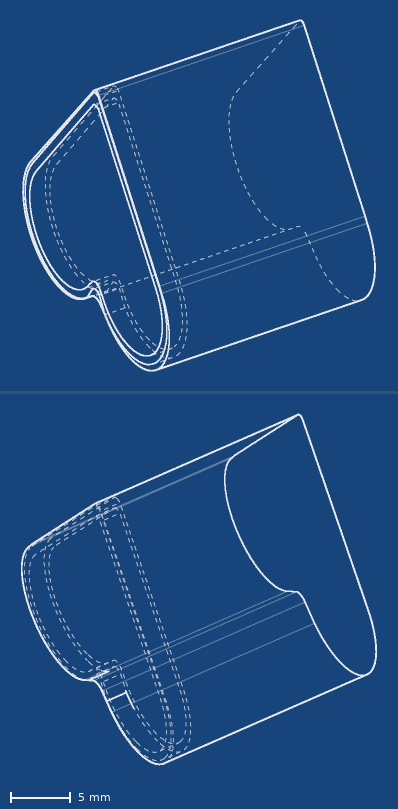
import cadquery as cq
import math

length = 20.0
front_y = -length / 2

housing_lobe_x = 5.97
housing_lobe_z = -5.9
housing_lobe_radius = 6.12
tip_half_width = 0.39
tip_rise = 0.2
housing_tip_z = 11.85
shoulder_z = -1.6
left_shoulder_x = -10.65
left_extreme_z = -5.65
right_shoulder_x = 10.45
right_flat_end_x = 10.8
housing_notch_foot_x = 2.2
housing_notch_edge_x = 0.7
housing_notch_edge_z = -9.48
housing_notch_top_z = -9.25

inlay_center_x = -0.02
inlay_lobe_x = 5.56
inlay_lobe_z = -5.5
rim_radius = 6.15
rim_width = 0.75
rim_notch_foot_x = 1.45
rim_notch_edge_x = 0.53
rim_notch_edge_z = -8.6
rim_notch_top_z = -8.42
plug_notch_foot_x = 1.06
side_run = 3.0
side_rise = 4.0
inlay_depth = 1.94


def circle_height(x, center_x, center_z, radius, side):
    """Z of a circle at x: side is 1 for its upper half, -1 for its lower half."""
    return center_z + side * math.sqrt(radius ** 2 - (x - center_x) ** 2)


def extrude_back(profile, depth):
    """Extrude an XZ profile from the front face toward +Y."""
    return profile.close().extrude(-depth)


def front_plane(center_x):
    """Sketch plane on the front face, with its origin at center_x."""
    return cq.Workplane("XZ", origin=(center_x, front_y, 0))


def housing_blank():
    """Solid heart, with a short flat below its right shoulder only."""
    lobe_x, lobe_z, radius = housing_lobe_x, housing_lobe_z, housing_lobe_radius
    bottom_z = lobe_z - radius
    foot_z = circle_height(housing_notch_foot_x, lobe_x, lobe_z, radius, -1)
    flat_end_z = circle_height(right_flat_end_x, lobe_x, lobe_z, radius, 1)

    left_extreme = (-lobe_x - radius, left_extreme_z)

    profile = (
        front_plane(0)
        .moveTo(-tip_half_width, housing_tip_z)
        .threePointArc((0, housing_tip_z + tip_rise), (tip_half_width, housing_tip_z))
        .lineTo(right_shoulder_x, shoulder_z)
        .lineTo(right_flat_end_x, flat_end_z)
        .threePointArc((lobe_x, bottom_z), (housing_notch_foot_x, foot_z))
        .lineTo(housing_notch_edge_x, housing_notch_edge_z)
        .threePointArc((0, housing_notch_top_z), (-housing_notch_edge_x, housing_notch_edge_z))
        .lineTo(-housing_notch_foot_x, foot_z)
        .threePointArc(left_extreme, (left_shoulder_x, shoulder_z))
    )
    return extrude_back(profile, length)


def inlay_heart(radius, notch_foot_x, notch_edge_z, notch_top_z):
    """Symmetric heart whose straight sides are tangent to its lobes."""
    side_length = math.hypot(side_run, side_rise)
    shoulder_x = inlay_lobe_x + radius * side_rise / side_length
    inlay_shoulder_z = inlay_lobe_z + radius * side_run / side_length
    tip_z = inlay_shoulder_z + (shoulder_x - tip_half_width) * side_rise / side_run
    bottom_z = inlay_lobe_z - radius
    foot_z = circle_height(notch_foot_x, inlay_lobe_x, inlay_lobe_z, radius, -1)
    profile = (
        front_plane(inlay_center_x)
        .moveTo(-tip_half_width, tip_z)
        .threePointArc((0, tip_z + tip_rise / 2), (tip_half_width, tip_z))
        .lineTo(shoulder_x, inlay_shoulder_z)
        .threePointArc((inlay_lobe_x, bottom_z), (notch_foot_x, foot_z))
        .lineTo(rim_notch_edge_x, notch_edge_z)
        .threePointArc((0, notch_top_z), (-rim_notch_edge_x, notch_edge_z))
        .lineTo(-notch_foot_x, foot_z)
        .threePointArc((-inlay_lobe_x, bottom_z), (-shoulder_x, inlay_shoulder_z))
    )
    return extrude_back(profile, inlay_depth)


rim_blank = inlay_heart(rim_radius, rim_notch_foot_x, rim_notch_edge_z, rim_notch_top_z)

plug = inlay_heart(
    rim_radius - rim_width,
    plug_notch_foot_x,
    rim_notch_edge_z + rim_width,
    rim_notch_top_z + rim_width,
)

rim = rim_blank.cut(plug)

housing = housing_blank().cut(rim_blank)

result = cq.Compound.makeCompound([housing.val(), rim.val(), plug.val()])